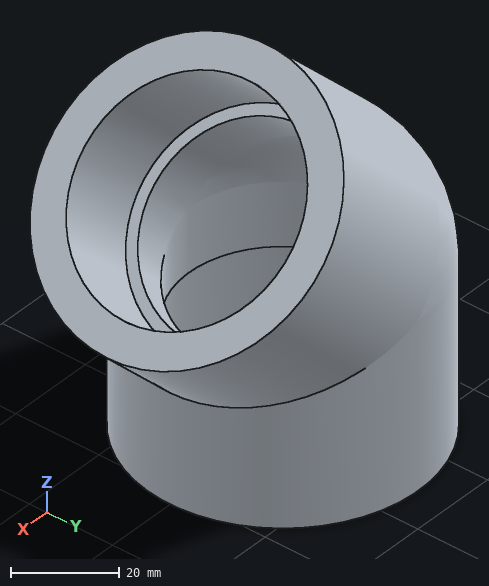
import cadquery as cq
import math

overall_height = 89.6
bend_angle = 45.0
outer_diameter = 65.0
socket_diameter = 50.0
bore_diameter = 45.0
socket_depth = 24.2

outer_radius = outer_diameter / 2
bend = math.radians(bend_angle)

leg_length = (overall_height - outer_radius * math.sin(bend)) / (1 + math.cos(bend))

joint = cq.Vector(0, 0, leg_length)
leg_directions = [
    cq.Vector(0, 0, -1),
    cq.Vector(math.sin(bend), 0, math.cos(bend)),
]


def leg_cylinder(direction, diameter, start, end):
    """Cylinder along a leg between two distances from the joint centre."""
    base = joint + direction * start
    return cq.Workplane(cq.Solid.makeCylinder(diameter / 2, end - start, base, direction))


def elbow_solid(diameter):
    """Two full legs joined by a ball of the same diameter."""
    solid = cq.Workplane("XY").sphere(diameter / 2).translate(joint)
    for direction in leg_directions:
        solid = solid.union(leg_cylinder(direction, diameter, 0, leg_length))
    return solid


result = elbow_solid(outer_diameter).cut(elbow_solid(bore_diameter))

for leg_direction in leg_directions:
    socket = leg_cylinder(leg_direction, socket_diameter, leg_length - socket_depth, leg_length)
    result = result.cut(socket)